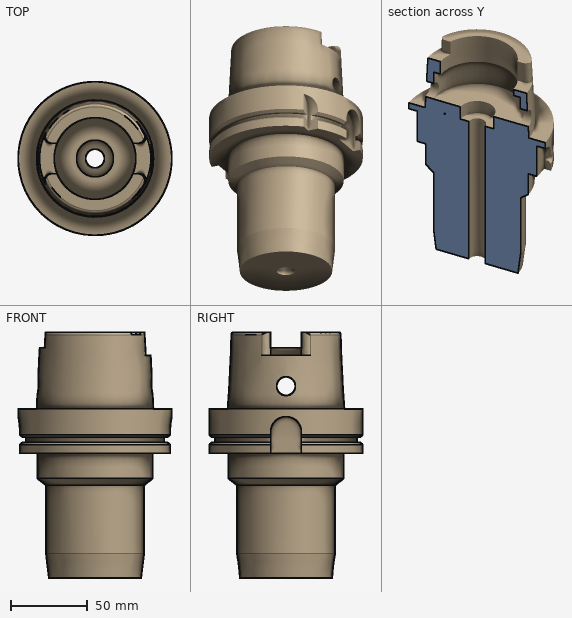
import cadquery as cq

height = 160.0
gauge_z = 110.0
flange_bottom_z = gauge_z - 29.0
shoulder_z = 64.8
neck_z = 60.3
tail_taper_z = 16.0

flange_r = 50.0
groove_r = 46.2
groove_mouth_r = 48.2
shoulder_r = 37.6
neck_r = 32.0
tail_r = 30.0
taper_base_r = 38.0
taper_per_length = 0.05
taper_top_r = taper_base_r - taper_per_length * (height - gauge_z)
rim_round = 2.0

groove_center_z = 90.0
groove_floor_half = 1.6
groove_half = 3.2

bore_r = 26.5
bore_lip_depth = 20.3
undercut_r = 31.5
bore_depth = 41.3
counterbore_r = 12.0
counterbore_depth = 9.6
center_hole_r = 6.0
cross_hole_r = 6.0
cross_hole_z = 124.8

slot_width = 20.0
slot_top_z = 105.0
slot_floor_x = 44.0
notch_depth_minus_x = 10.0
notch_depth_plus_x = 15.2
notch_round = 4.0
flat_x = -32.0
flat_edge_y = 31.4
flat_round = 9.6
flat_top_z = 105.0


def make_outside():
    """Revolved outside of the holder with its tapered shank."""
    outline = [
        (0, 0),
        (tail_r, 0),
        (neck_r, tail_taper_z),
        (neck_r, neck_z),
        (shoulder_r, shoulder_z),
        (shoulder_r, flange_bottom_z),
        (flange_r, flange_bottom_z),
        (flange_r, groove_center_z - groove_half),
        (groove_mouth_r, groove_center_z - groove_floor_half),
        (groove_r, groove_center_z - groove_floor_half),
        (groove_r, groove_center_z + groove_floor_half),
        (groove_mouth_r, groove_center_z + groove_floor_half),
        (flange_r, groove_center_z + groove_half),
        (flange_r, gauge_z),
        (taper_base_r, gauge_z),
        (taper_top_r, height),
        (0, height),
    ]
    return cq.Workplane("XZ").polyline(outline).close().revolve(360, (0, 0), (0, 1))


def make_bore():
    """Stepped inside space: lip, undercut, counterbore and through hole."""
    floor_z = height - bore_depth
    outline = [
        (0, 0),
        (center_hole_r, 0),
        (center_hole_r, floor_z - counterbore_depth),
        (counterbore_r, floor_z - counterbore_depth),
        (counterbore_r, floor_z),
        (undercut_r, floor_z),
        (undercut_r, height - bore_lip_depth),
        (bore_r, height - bore_lip_depth),
        (bore_r, height),
        (0, height),
    ]
    return cq.Workplane("XZ").polyline(outline).close().revolve(360, (0, 0), (0, 1))


def make_arched_cutter(start_x, end_x, center_y, radius, top_z):
    """Round-topped slot running along X, open at the flange bottom."""
    spring_z = top_z - radius
    return (
        cq.Workplane("YZ", origin=(start_x, center_y, 0))
        .moveTo(-radius, flange_bottom_z)
        .lineTo(radius, flange_bottom_z)
        .lineTo(radius, spring_z)
        .threePointArc((0, top_z), (-radius, spring_z))
        .close()
        .extrude(end_x - start_x)
    )


def make_notch(side, depth):
    """Straight drive notch through one side of the rim."""
    return (
        cq.Workplane("XY", origin=(side * flange_r / 2, 0, height - depth))
        .rect(flange_r, slot_width)
        .extrude(depth)
    )


result = make_outside()
for side, depth in ((-1, notch_depth_minus_x), (1, notch_depth_plus_x)):
    result = result.cut(make_notch(side, depth))
    outer_corners = cq.selectors.BoxSelector(
        (side * bore_r, -slot_width, height - depth),
        (side * flange_r, slot_width, height),
    )
    result = result.edges(outer_corners).edges("not %CIRCLE").fillet(notch_round)
result = result.intersect(make_outside().faces(">Z").edges().fillet(rim_round))
result = result.cut(make_bore())

for start_x, end_x in ((-flange_r, -slot_floor_x), (slot_floor_x, flange_r)):
    result = result.cut(make_arched_cutter(start_x, end_x, 0, slot_width / 2, slot_top_z))

flat_center_y = flat_edge_y + flat_round
result = result.cut(make_arched_cutter(-flange_r, flat_x, flat_center_y, flat_round, flat_top_z))

cross_hole = (
    cq.Workplane("YZ", origin=(-flange_r, 0, cross_hole_z))
    .circle(cross_hole_r)
    .extrude(2 * flange_r)
)
result = result.cut(cross_hole)